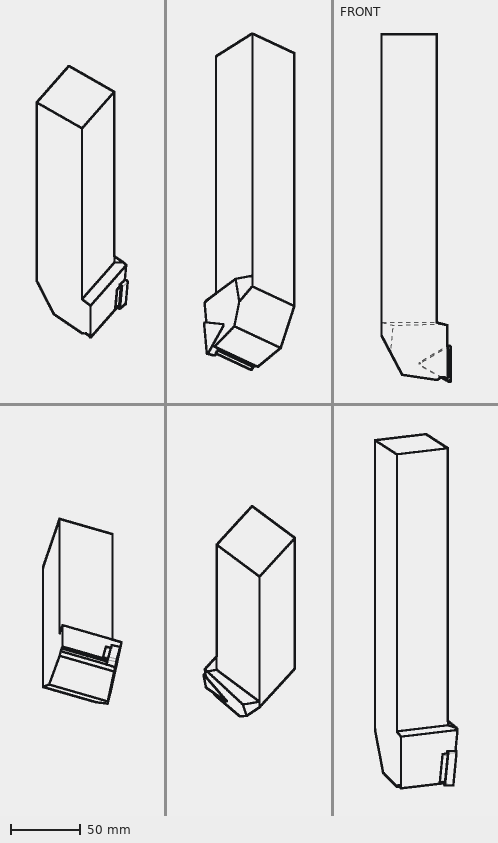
import cadquery as cq
import math

overall_height = 250.5
shank_side = 40.0
head_width = 47.5
head_top = 42.8
shoulder_drop = 2.0
back_shoulder_angle = 15.0
stock_depth = 50.0
rake_angle = 6.0

lead_in_height = 33.5
heel_x, heel_z = 15.0, 5.0
relief_start_x, relief_start_z = 40.3, 1.3
relief_left_x, relief_right_x = 43.0, 45.3
relief_top_z = 3.5
end_corner_z = 2.0

insert_side = 27.5
insert_thickness = 6.3
insert_corner_radius = 1.3
insert_tip_x, insert_tip_y, insert_tip_z = 50.3, 39.8, -0.9
seat_thickness = 3.8
seat_inset = 1.3

rake_slope = math.tan(math.radians(rake_angle))
rake_normal = cq.Vector(rake_slope, 1, -rake_slope)
down_the_rake = cq.Vector(0, -rake_slope, -1)
rake_plane = cq.Plane(
    origin=(insert_tip_x, insert_tip_y, insert_tip_z),
    xDir=down_the_rake.cross(rake_normal),
    normal=rake_normal,
)


def triangular_plate(inset, depth, thickness):
    """Rounded equilateral plate, shrunk by inset and lying depth below the rake plane."""
    height = insert_side * math.sqrt(3) / 2
    corner_inset = inset * math.sqrt(3)
    plate = (
        cq.Workplane(rake_plane)
        .workplane(offset=-depth)
        .polyline([
            (-inset, -corner_inset),
            (-inset, corner_inset - insert_side),
            (2 * inset - height, -insert_side / 2),
        ])
        .close()
        .extrude(-thickness)
    )
    thickness_edges = cq.selectors.ParallelDirSelector(rake_plane.zDir)
    return plate.edges(thickness_edges).fillet(insert_corner_radius)


def make_head():
    """Head bounded by its front outline, back shoulder, corner bevel and rake plane."""
    front_outline = [
        (0, head_top),
        (0, lead_in_height),
        (heel_x, heel_z),
        (relief_start_x, relief_start_z),
        (relief_left_x, relief_top_z),
        (relief_right_x, relief_top_z),
        (head_width, end_corner_z),
        (head_width, head_top - shoulder_drop),
        (shank_side, head_top),
    ]
    head = cq.Workplane("XZ").polyline(front_outline).close().extrude(-stock_depth)

    back_run = stock_depth - shank_side
    back_drop = back_run * math.tan(math.radians(back_shoulder_angle))
    back_shoulder = (
        cq.Workplane("YZ")
        .polyline([
            (shank_side, head_top),
            (stock_depth, head_top),
            (stock_depth, head_top - back_drop),
        ])
        .close()
        .extrude(head_width)
    )

    corner_bevel = (
        cq.Workplane("XY")
        .polyline([(0, shank_side), (back_run, stock_depth), (0, stock_depth)])
        .close()
        .extrude(head_top)
    )

    cutter_side = 3 * stock_depth
    above_rake = cq.Workplane(rake_plane).rect(cutter_side, cutter_side).extrude(stock_depth)
    return head.cut(back_shoulder).cut(corner_bevel).cut(above_rake)


def make_holder(insert):
    shank = (
        cq.Workplane("XY")
        .workplane(offset=head_top)
        .rect(shank_side, shank_side, centered=False)
        .extrude(overall_height - head_top)
    )
    seat = triangular_plate(seat_inset, insert_thickness, seat_thickness)
    return make_head().union(shank).union(seat).cut(insert)


insert = triangular_plate(0, 0, insert_thickness)
holder = make_holder(insert)

result = cq.Compound.makeCompound([holder.solids().val(), insert.solids().val()])